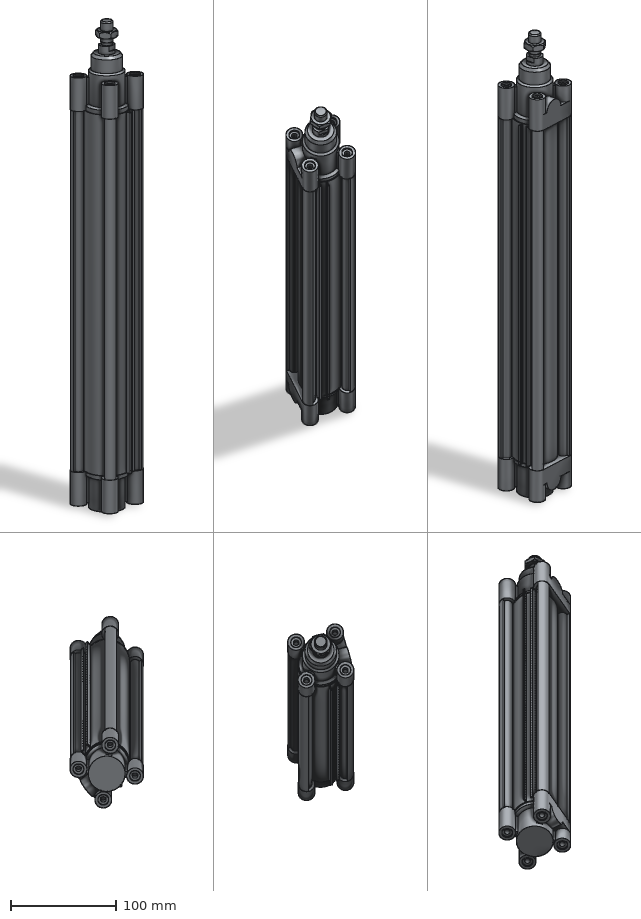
import cadquery as cq
import math

TOTAL_LENGTH = 484.0
CAP_HEIGHT = 33.5
REAR_FACE = 4.0
FRONT_FACE = 430.0
BARREL_BOTTOM = REAR_FACE + CAP_HEIGHT
BARREL_TOP = FRONT_FACE - CAP_HEIGHT

WIDTH = 54.0
COLUMN_RADIUS = 16.0 / 2
COLUMN_OFFSET = WIDTH / 2 - COLUMN_RADIUS
CORNER_SIGNS = [(sx, sy) for sx in (-1, 1) for sy in (-1, 1)]

SCREW_RECESS_STEPS = [(10.0, 2.0), (5.5, 9.5)]

SPIGOT_RADIUS = 35.0 / 2
CAP_LEDGE_RADIUS = 41.5 / 2
CAP_LEDGE_HEIGHT = 4.5
CAP_LEDGE_CONE_HEIGHT = 1.5
CAP_WEB_WIDTH = 6.0
CAP_WEB_HEIGHT = 32.0

PORT_BOSS_RADIUS = 10.0
PORT_BOSS_X = 4.0
PORT_BOSS_HEIGHT = 16.5
PORT_BLOCK_START_Y = 14.5

FRONT_SPIGOT_HEIGHT = 4.5
SPIGOT_CHAMFER_HEIGHT = 1.5
GUIDE_RADIUS = 30.0 / 2
GUIDE_TOP = 452.0
GUIDE_CHAMFER_WIDTH = 2.5
GUIDE_CHAMFER_HEIGHT = 3.0

CORE_RADIUS = 22.0
LOBE_RADIUS = 10.0 / 2
LOBE_OUTER_RADIUS = 7.7
LOBE_WEB_WIDTH = 4.0
SLOT_LIP_THICKNESS = 1.0
LOWER_LIP_Y = 2.5
LOWER_LIP_REACH = 26.5
LOWER_LIP_HOOK_TOP = 4.5
UPPER_LIP_REACH = 24.0
UPPER_LIP_Y = 11.0
UPPER_LIP_HOOK_BOTTOM = 9.0

ROD_RADIUS = 16.0 / 2
ROD_SHOULDER = 460.5
ROD_FLATS_BOTTOM = 455.5
ROD_FLATS_WIDTH = 13.0
GROOVE_RADIUS = 10.5 / 2
GROOVE_TOP = 463.0
THREAD_RADIUS = 12.0 / 2
THREAD_CHAMFER_WIDTH = 1.0
THREAD_CHAMFER_HEIGHT = 1.5

NUT_WIDTH = 19.0
NUT_BOTTOM = 468.0
NUT_HEIGHT = 7.0
NUT_CHAMFER_HEIGHT = 1.5
NUT_END_RADIUS = 9.0


def cylinder(radius, bottom, top, x=0.0, y=0.0):
    """Cylinder parallel to Z between two levels."""
    return cq.Workplane("XY", origin=(x, y, bottom)).circle(radius).extrude(top - bottom)


def box(x_range, y_range, bottom, top):
    """Box between two X limits, two Y limits and two levels."""
    x_size = x_range[1] - x_range[0]
    y_size = y_range[1] - y_range[0]
    corner = (x_range[0], y_range[0], bottom)
    return cq.Workplane("XY", origin=corner).box(x_size, y_size, top - bottom, centered=False)


def corner_web(sx, sy, width, bottom, top):
    """Straight wall from the part axis to the corner axis in quadrant (sx, sy)."""
    return (
        cq.Workplane("XY", origin=(sx * COLUMN_OFFSET / 2, sy * COLUMN_OFFSET / 2, bottom))
        .transformed(rotate=(0, 0, sx * sy * 45))
        .rect(COLUMN_OFFSET * math.sqrt(2), width)
        .extrude(top - bottom)
    )


def revolve_profile(points):
    """Solid of revolution about Z from (radius, level) points."""
    return cq.Workplane("XZ").polyline(points).close().revolve(360, (0, 0), (0, 1))


def screw_recess(x, y):
    """Stepped round recess sunk into a column end that lies at CAP_HEIGHT."""
    recess = cq.Workplane("XY")
    for diameter, depth in SCREW_RECESS_STEPS:
        recess = recess.union(cylinder(diameter / 2, CAP_HEIGHT - depth, CAP_HEIGHT, x, y))
    return recess


def make_cap_base(spigot_height):
    """Part common to both caps: barrel end at level 0, column ends at CAP_HEIGHT.

    The round spigot rises past the column ends by spigot_height.
    """
    spigot_top = CAP_HEIGHT + spigot_height
    base = revolve_profile([
        (0, 0),
        (CAP_LEDGE_RADIUS, 0),
        (CAP_LEDGE_RADIUS, CAP_LEDGE_HEIGHT),
        (SPIGOT_RADIUS, CAP_LEDGE_HEIGHT + CAP_LEDGE_CONE_HEIGHT),
        (SPIGOT_RADIUS, spigot_top),
        (0, spigot_top),
    ])
    port_block = box((-COLUMN_OFFSET, COLUMN_OFFSET), (PORT_BLOCK_START_Y, WIDTH / 2), 0, PORT_BOSS_HEIGHT)
    port_boss = (
        cq.Workplane("XZ", origin=(PORT_BOSS_X, 0, PORT_BOSS_HEIGHT))
        .circle(PORT_BOSS_RADIUS)
        .extrude(-WIDTH / 2)
    )
    base = base.union(port_block).union(port_boss)
    for sx, sy in CORNER_SIGNS:
        column = cylinder(COLUMN_RADIUS, 0, CAP_HEIGHT, sx * COLUMN_OFFSET, sy * COLUMN_OFFSET)
        base = base.union(column).union(corner_web(sx, sy, CAP_WEB_WIDTH, 0, CAP_WEB_HEIGHT))
    for sx, sy in CORNER_SIGNS:
        base = base.cut(screw_recess(sx * COLUMN_OFFSET, sy * COLUMN_OFFSET))
    return base


def make_front_cap():
    """Front cap with its spigot, chamfered guide boss and rod bore."""
    spigot_top = FRONT_FACE + FRONT_SPIGOT_HEIGHT
    nose = revolve_profile([
        (0, spigot_top),
        (SPIGOT_RADIUS, spigot_top),
        (GUIDE_RADIUS, spigot_top + SPIGOT_CHAMFER_HEIGHT),
        (GUIDE_RADIUS, GUIDE_TOP - GUIDE_CHAMFER_HEIGHT),
        (GUIDE_RADIUS - GUIDE_CHAMFER_WIDTH, GUIDE_TOP),
        (0, GUIDE_TOP),
    ])
    base = make_cap_base(FRONT_SPIGOT_HEIGHT).translate((0, 0, BARREL_TOP))
    rod_bore = cylinder(ROD_RADIUS, BARREL_TOP, GUIDE_TOP)
    return base.union(nose).cut(rod_bore)


def make_rear_cap():
    """Rear cap, the front cap's base turned over, with a plain centring spigot."""
    return make_cap_base(REAR_FACE).mirror("XY").translate((0, 0, BARREL_BOTTOM))


def barrel_bar(x_limits, y_limits):
    """Rectangular bar over the full barrel length."""
    return box(sorted(x_limits), sorted(y_limits), BARREL_BOTTOM, BARREL_TOP)


def make_corner_lobe(sx, sy):
    """Corner rib of the barrel: a round lobe with a larger quarter-round on its outer side."""
    x = sx * COLUMN_OFFSET
    y = sy * COLUMN_OFFSET
    lobe = cylinder(LOBE_RADIUS, BARREL_BOTTOM, BARREL_TOP, x, y)
    outer_corner = barrel_bar((x, sx * WIDTH / 2), (y, sy * WIDTH / 2))
    quarter_round = cylinder(LOBE_OUTER_RADIUS, BARREL_BOTTOM, BARREL_TOP, x, y).intersect(outer_corner)
    web = corner_web(sx, sy, LOBE_WEB_WIDTH, BARREL_BOTTOM, BARREL_TOP)
    return lobe.union(quarter_round).union(web)


def make_sensor_lips(side):
    """Two hooked lips that frame the sensor slot on the -X (side=-1) or +X (side=1) face."""
    lower_reach = (side * (LOWER_LIP_REACH - SLOT_LIP_THICKNESS), side * LOWER_LIP_REACH)
    upper_reach = (side * (UPPER_LIP_REACH - SLOT_LIP_THICKNESS), side * UPPER_LIP_REACH)
    upper_lip_top = UPPER_LIP_Y + SLOT_LIP_THICKNESS
    lower_lip = barrel_bar((0, lower_reach[1]), (LOWER_LIP_Y, LOWER_LIP_Y + SLOT_LIP_THICKNESS))
    lower_hook = barrel_bar(lower_reach, (LOWER_LIP_Y, LOWER_LIP_HOOK_TOP))
    upper_lip = barrel_bar((0, upper_reach[1]), (UPPER_LIP_Y, upper_lip_top))
    upper_hook = barrel_bar(upper_reach, (UPPER_LIP_HOOK_BOTTOM, upper_lip_top))
    return lower_lip.union(lower_hook).union(upper_lip).union(upper_hook)


def make_barrel():
    """Profiled barrel: round core, four corner lobes and a sensor slot on each side."""
    barrel = cylinder(CORE_RADIUS, BARREL_BOTTOM, BARREL_TOP)
    for side in (-1, 1):
        barrel = barrel.union(make_sensor_lips(side))
    for sx, sy in CORNER_SIGNS:
        barrel = barrel.union(make_corner_lobe(sx, sy))
    return barrel


def make_rod():
    """Piston rod with wrench flats, a relief groove and a chamfered thread end."""
    rod = revolve_profile([
        (0, BARREL_TOP),
        (ROD_RADIUS, BARREL_TOP),
        (ROD_RADIUS, ROD_SHOULDER),
        (GROOVE_RADIUS, ROD_SHOULDER),
        (GROOVE_RADIUS, GROOVE_TOP),
        (THREAD_RADIUS, GROOVE_TOP),
        (THREAD_RADIUS, TOTAL_LENGTH - THREAD_CHAMFER_HEIGHT),
        (THREAD_RADIUS - THREAD_CHAMFER_WIDTH, TOTAL_LENGTH),
        (0, TOTAL_LENGTH),
    ])
    for side in (-1, 1):
        flat_range = sorted((side * ROD_FLATS_WIDTH / 2, side * ROD_RADIUS))
        rod = rod.cut(box(flat_range, (-ROD_RADIUS, ROD_RADIUS), ROD_FLATS_BOTTOM, ROD_SHOULDER))
    return rod


def make_nut():
    """Hexagon lock nut with flats facing -X and +X and both ends chamfered."""
    corner_radius = NUT_WIDTH / math.sqrt(3)
    nut_top = NUT_BOTTOM + NUT_HEIGHT
    hexagon = (
        cq.Workplane("XY", origin=(0, 0, NUT_BOTTOM))
        .transformed(rotate=(0, 0, 90))
        .polygon(6, 2 * corner_radius)
        .extrude(NUT_HEIGHT)
    )
    chamfered_blank = revolve_profile([
        (0, NUT_BOTTOM),
        (NUT_END_RADIUS, NUT_BOTTOM),
        (corner_radius, NUT_BOTTOM + NUT_CHAMFER_HEIGHT),
        (corner_radius, nut_top - NUT_CHAMFER_HEIGHT),
        (NUT_END_RADIUS, nut_top),
        (0, nut_top),
    ])
    return hexagon.intersect(chamfered_blank).cut(cylinder(THREAD_RADIUS, NUT_BOTTOM, nut_top))


barrel = make_barrel()
front_cap = make_front_cap()
rear_cap = make_rear_cap()
rod = make_rod()
nut = make_nut()

result = cq.Compound.makeCompound([
    barrel.val(),
    front_cap.val(),
    rear_cap.val(),
    rod.val(),
    nut.val(),
])